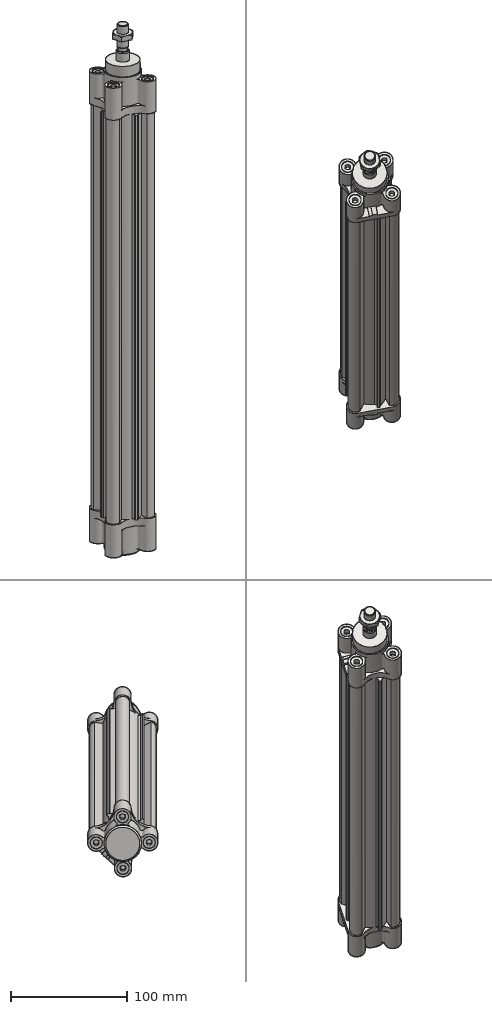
import cadquery as cq
import math

TOTAL_HEIGHT = 496.0
REAR_CAP_BOTTOM = 4.0
BARREL_BOTTOM = 35.0
BARREL_TOP = 417.5
FRONT_CAP_TOP = 448.0
COLLAR_STEP = 452.5
COLLAR_TOP = 462.5
ROD_TOP = 471.0
THREAD_BOTTOM = 474.5
NUT_BOTTOM = 483.0

TUBE_RADIUS = 18.0

CAP_WIDTH = 47.0
BOSS_RADIUS = 7.5
BOSS_OFFSET = CAP_WIDTH / 2 - BOSS_RADIUS
CORE_DIAMETER = 32.0
CORE_RADIUS = CORE_DIAMETER / 2
NECK_FILLET = 1.5
FLANGE_HEIGHT = 7.5
FLANGE_RIB_DEPTH = 0.3
FLANGE_MID = TUBE_RADIUS - FLANGE_RIB_DEPTH
SCREW_RECESS_DIAMETER = 10.5
SCREW_RECESS_DEPTH = 1.0
SOCKET_DIAMETER = 4.9
SOCKET_DEPTH = 5.0
COLLAR_RADIUS = 15.0
REAR_SPIGOT_CHAMFER = 1.5

RIB_DROP = 1.0
HIGH_RIB_HALF_WIDTH = 2.25
LOW_RIB_WIDTH = 3.0
SLOPING_RIBS = [
    (-HIGH_RIB_HALF_WIDTH, HIGH_RIB_HALF_WIDTH, 2.0),
    (HIGH_RIB_HALF_WIDTH, HIGH_RIB_HALF_WIDTH + LOW_RIB_WIDTH, 1.0),
]

LOBE_RADIUS = 6.5
LOBE_OFFSET = 16.0
LOBE_EDGE = 13.0
TUBE_EDGE = 8.5
RAIL_ROOT = 0.75
RAIL_LEFT = 2.25
RAIL_WIDTH = 3.0
RAIL_RIGHT = RAIL_LEFT + RAIL_WIDTH
RAIL_ROOT_TOP = 19.5
RAIL_TOP = 22.0
RAIL_CHAMFER = 1.0
VALLEY = 11.0
VALLEY_DEPTH = 15.0

ROD_DIAMETER = 12.0
ROD_TIP_DIAMETER = 10.5
ROD_CHAMFER_HEIGHT = 1.0
UNDERCUT_DIAMETER = 8.0
THREAD_DIAMETER = 10.0
THREAD_TIP_DIAMETER = 8.5
NUT_ACROSS_FLATS = 17.0
NUT_HEIGHT = 5.0
NUT_CHAMFER_HEIGHT = 1.0

SIDE_ANGLES = [0, 90, 180, 270]
CORNERS = [(sx * BOSS_OFFSET, sy * BOSS_OFFSET) for sx in (-1, 1) for sy in (-1, 1)]


def turned(x, y, angle):
    """Point (x, y) turned about the cylinder axis by an angle in degrees."""
    c = math.cos(math.radians(angle))
    s = math.sin(math.radians(angle))
    return (x * c - y * s, x * s + y * c)


def core_and_bosses(height):
    """Round core and four corner bosses, joined by small hollow fillets."""
    core = cq.Workplane("XY").circle(CORE_RADIUS).extrude(height)
    bosses = cq.Workplane("XY").pushPoints(CORNERS).circle(BOSS_RADIUS).extrude(height)

    def is_corner(edge):
        """True where a boss meets the core, away from the seam lines of the cylinders."""
        place = edge.Center()
        on_core = abs(math.hypot(place.x, place.y) - CORE_RADIUS) < NECK_FILLET / 10
        return on_core and min(abs(place.x), abs(place.y)) > NECK_FILLET

    return core.union(bosses).edges("|Z").filter(is_corner).fillet(NECK_FILLET)


def flange():
    """Plate beside the barrel, with a hollow arc on each side that runs smoothly into the bosses."""
    hollow_radius = (BOSS_OFFSET**2 + (FLANGE_MID - BOSS_OFFSET) ** 2 - BOSS_RADIUS**2) / (
        2 * (BOSS_RADIUS - FLANGE_MID + BOSS_OFFSET)
    )
    hollow_centre = FLANGE_MID + hollow_radius
    share = BOSS_RADIUS / (BOSS_RADIUS + hollow_radius)
    tangent_x = BOSS_OFFSET * (1 - share)
    tangent_y = BOSS_OFFSET + (hollow_centre - BOSS_OFFSET) * share
    boss_tip = BOSS_OFFSET + BOSS_RADIUS / math.sqrt(2)

    outline = cq.Workplane("XY").moveTo(-tangent_x, -tangent_y)
    for side in SIDE_ANGLES:
        outline = outline.threePointArc(
            turned(0, -FLANGE_MID, side), turned(tangent_x, -tangent_y, side)
        ).threePointArc(turned(boss_tip, -boss_tip, side), turned(tangent_y, -tangent_x, side))
    plate = outline.close().extrude(FLANGE_HEIGHT)
    return plate.union(cq.Workplane("XY").circle(TUBE_RADIUS).extrude(FLANGE_HEIGHT))


def port_side():
    """Flat-faced block filling the +Y side of the flange, with two sloping ribs on its ledge."""
    face = CAP_WIDTH / 2
    side = cq.Workplane("XY").rect(2 * BOSS_OFFSET, face, centered=(True, False)).extrude(FLANGE_HEIGHT)
    for left, right, rise in SLOPING_RIBS:
        slope = [
            (0, FLANGE_HEIGHT),
            (face, FLANGE_HEIGHT),
            (face, FLANGE_HEIGHT + rise),
            (CORE_RADIUS, FLANGE_HEIGHT + rise + RIB_DROP),
            (0, FLANGE_HEIGHT + rise + RIB_DROP),
        ]
        rib = cq.Workplane("YZ", origin=(left, 0, 0)).polyline(slope).close().extrude(right - left)
        side = side.union(rib)
    return side


def end_cap(height):
    """End cap standing on its barrel side, with a recessed socket screw in every boss."""
    cap = core_and_bosses(height).union(flange()).union(port_side())
    for diameter, depth in (
        (SCREW_RECESS_DIAMETER, SCREW_RECESS_DEPTH),
        (SOCKET_DIAMETER, SCREW_RECESS_DEPTH + SOCKET_DEPTH),
    ):
        outer_face = cq.Workplane("XY", origin=(0, 0, height)).pushPoints(CORNERS)
        cap = cap.cut(outer_face.circle(diameter / 2).extrude(-depth))
    return cap


def barrel():
    """Extruded tube with a lobe at each corner and a sensor rail on each side."""
    lobe_edge_top = LOBE_OFFSET + math.sqrt(LOBE_RADIUS**2 - (LOBE_OFFSET - LOBE_EDGE) ** 2)
    lobe_tip = LOBE_OFFSET + LOBE_RADIUS / math.sqrt(2)
    tube_start = (-TUBE_EDGE, -math.sqrt(TUBE_RADIUS**2 - TUBE_EDGE**2))
    tube_end = (RAIL_ROOT, -math.sqrt(TUBE_RADIUS**2 - RAIL_ROOT**2))
    tube_mid_x = (RAIL_ROOT - TUBE_EDGE) / 2
    tube_mid = (tube_mid_x, -math.sqrt(TUBE_RADIUS**2 - tube_mid_x**2))
    rail_and_valley = [
        (RAIL_LEFT, -RAIL_ROOT_TOP),
        (RAIL_LEFT, -RAIL_TOP),
        (RAIL_RIGHT - RAIL_CHAMFER, -RAIL_TOP),
        (RAIL_RIGHT, -RAIL_TOP + RAIL_CHAMFER),
        (RAIL_RIGHT, -VALLEY_DEPTH - (VALLEY - RAIL_RIGHT)),
        (VALLEY, -VALLEY_DEPTH),
        (LOBE_EDGE, -lobe_edge_top),
    ]

    outline = cq.Workplane("XY", origin=(0, 0, BARREL_BOTTOM)).moveTo(-LOBE_EDGE, -lobe_edge_top)
    for side in SIDE_ANGLES:
        outline = outline.lineTo(*turned(*tube_start, side))
        outline = outline.threePointArc(turned(*tube_mid, side), turned(*tube_end, side))
        for x, y in rail_and_valley:
            outline = outline.lineTo(*turned(x, y, side))
        outline = outline.threePointArc(
            turned(lobe_tip, -lobe_tip, side), turned(lobe_edge_top, -LOBE_EDGE, side)
        )
    return outline.close().extrude(BARREL_TOP - BARREL_BOTTOM)


def front_collar():
    """Stepped guide collar on the front cap."""
    step = cq.Workplane("XY", origin=(0, 0, FRONT_CAP_TOP)).circle(CORE_RADIUS)
    guide = cq.Workplane("XY", origin=(0, 0, COLLAR_STEP)).circle(COLLAR_RADIUS)
    return step.extrude(COLLAR_STEP - FRONT_CAP_TOP).union(guide.extrude(COLLAR_TOP - COLLAR_STEP))


def rear_spigot():
    """Short round spigot under the rear cap, chamfered at its lower rim."""
    spigot = cq.Workplane("XY").circle(CORE_RADIUS).extrude(REAR_CAP_BOTTOM)
    return spigot.faces("<Z").chamfer(REAR_SPIGOT_CHAMFER)


def make_housing():
    """Barrel with its two caps, bored through the front cap for the rod."""
    front_cap = end_cap(FRONT_CAP_TOP - BARREL_TOP).translate((0, 0, BARREL_TOP))
    rear_cap = end_cap(BARREL_BOTTOM - REAR_CAP_BOTTOM).mirror("XY").translate((0, 0, BARREL_BOTTOM))
    rod_bore = (
        cq.Workplane("XY", origin=(0, 0, BARREL_TOP))
        .circle(ROD_DIAMETER / 2)
        .extrude(COLLAR_TOP - BARREL_TOP)
    )
    body = barrel().union(front_cap).union(rear_cap).union(front_collar()).union(rear_spigot())
    return body.cut(rod_bore)


def make_rod():
    """Piston rod with a chamfered shoulder, an undercut and a threaded stud."""
    stud_chamfer = (THREAD_DIAMETER - THREAD_TIP_DIAMETER) / 2
    half_profile = [
        (0, BARREL_TOP),
        (ROD_DIAMETER / 2, BARREL_TOP),
        (ROD_DIAMETER / 2, ROD_TOP - ROD_CHAMFER_HEIGHT),
        (ROD_TIP_DIAMETER / 2, ROD_TOP),
        (UNDERCUT_DIAMETER / 2, ROD_TOP),
        (UNDERCUT_DIAMETER / 2, THREAD_BOTTOM),
        (THREAD_DIAMETER / 2, THREAD_BOTTOM),
        (THREAD_DIAMETER / 2, TOTAL_HEIGHT - stud_chamfer),
        (THREAD_TIP_DIAMETER / 2, TOTAL_HEIGHT),
        (0, TOTAL_HEIGHT),
    ]
    return cq.Workplane("XZ").polyline(half_profile).close().revolve(360, (0, 0, 0), (0, 1, 0))


def make_nut():
    """Thin hexagon nut, flats facing X, with its upper corners chamfered."""
    corner_diameter = NUT_ACROSS_FLATS / math.cos(math.pi / 6)
    base = cq.Workplane("XY", origin=(0, 0, NUT_BOTTOM))
    hexagon = base.transformed(rotate=(0, 0, 90)).polygon(6, corner_diameter).extrude(NUT_HEIGHT)
    rounding = base.circle(corner_diameter / 2).extrude(NUT_HEIGHT)
    rounding = rounding.faces(">Z").chamfer(NUT_CHAMFER_HEIGHT, (corner_diameter - NUT_ACROSS_FLATS) / 2)
    bore = base.circle(THREAD_DIAMETER / 2).extrude(NUT_HEIGHT)
    return hexagon.intersect(rounding).cut(bore)


housing = make_housing()
rod = make_rod()
nut = make_nut()

result = cq.Compound.makeCompound([housing.solids().val(), rod.val(), nut.solids().val()])